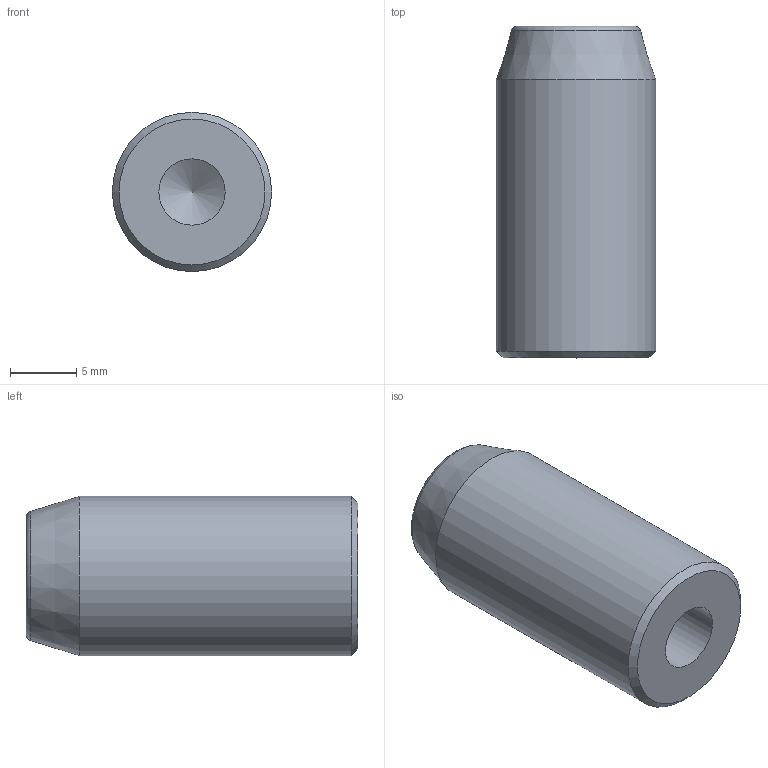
import cadquery as cq
import math

pin_diameter = 12.0
pin_length = 25.0
foot_chamfer = 0.5
nose_length = 4.0
nose_tip_diameter = 9.5
nose_edge_fillet = 0.5
hole_diameter = 5.0
hole_depth = 12.0
drill_point_angle = 118.0

pin_radius = pin_diameter / 2
nose_tip_radius = nose_tip_diameter / 2
hole_radius = hole_diameter / 2
foot_y = -pin_length / 2
tip_y = pin_length / 2


def revolve_about_y(half_section):
    """Turn a closed outline of (y, radius) points about the Y axis."""
    return cq.Workplane("YZ").polyline(half_section).close().revolve(360, (0, 0), (1, 0))


def make_body():
    """Turned pin: chamfered foot, straight shank and tapered nose with a rounded edge."""
    body = revolve_about_y(
        [
            (foot_y, 0),
            (foot_y, pin_radius - foot_chamfer),
            (foot_y + foot_chamfer, pin_radius),
            (tip_y - nose_length, pin_radius),
            (tip_y, nose_tip_radius),
            (tip_y, 0),
        ]
    )
    return body.faces(">Y").edges().fillet(nose_edge_fillet)


def make_blind_hole():
    """Hole drilled from the foot, ending in a conical drill point."""
    drill_point_length = hole_radius / math.tan(math.radians(drill_point_angle / 2))
    hole_bottom_y = foot_y + hole_depth
    return revolve_about_y(
        [
            (foot_y, 0),
            (foot_y, hole_radius),
            (hole_bottom_y, hole_radius),
            (hole_bottom_y + drill_point_length, 0),
        ]
    )


result = make_body().cut(make_blind_hole())